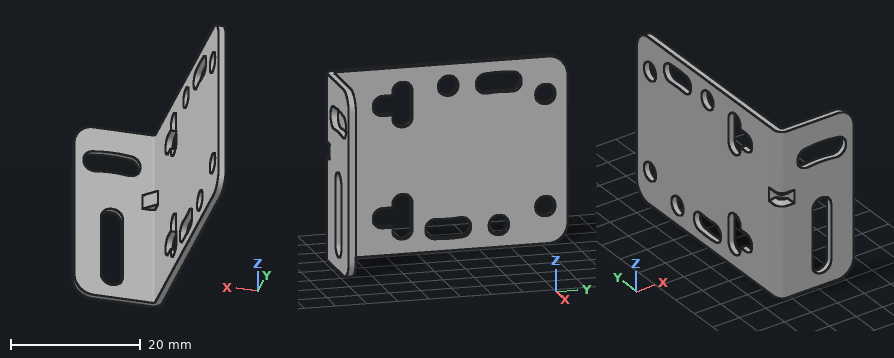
import cadquery as cq
import math

FLANGE_LENGTH = 13.98
PLATE_LENGTH = 38.6
HEIGHT = 29.95
THICKNESS = 1.15
INNER_BEND_RADIUS = 0.35
OUTER_BEND_RADIUS = INNER_BEND_RADIUS + THICKNESS
CORNER_RADIUS = 3.0

HOLE_DIAMETER = 3.2
END_HOLE_Y = 35.05
HOLE_ROW_Z = 9.0
PIVOT_Z = 11.45
LOWER_PIVOT_Y = 27.6
UPPER_PIVOT_Y = 19.5
PLATE_ARC_LENGTH = 7.3
TEE_Y = 12.15
TEE_LENGTH = 7.25
TEE_STEM_Y = 9.05

FLANGE_SLOT_WIDTH = 3.5
FLANGE_SLOT_X = 8.0
FLANGE_SLOT_Z = -5.95
FLANGE_SLOT_LENGTH = 13.55
FLANGE_ARC_RADIUS = 20.08
FLANGE_ARC_LENGTH = 9.1

DENT_Z = 2.78
DENT_WIDTH = 2.4
DENT_CHAMFER = 0.77
DENT_REACH = 2.8
GUSSET_LEG = 1.95

CUT_DEPTH = 3 * THICKNESS
PLATE_PLANE = cq.Plane(origin=(-THICKNESS, 0, 0), xDir=(0, 1, 0), normal=(1, 0, 0))
FLANGE_PLANE = cq.Plane(origin=(0, 2 * THICKNESS, 0), xDir=(1, 0, 0), normal=(0, -1, 0))


def bent_sheet():
    outer = cq.Workplane("XY").box(
        FLANGE_LENGTH, PLATE_LENGTH, HEIGHT, centered=(False, False, True)
    )
    outer = outer.edges("|Z and <X and <Y").fillet(OUTER_BEND_RADIUS)
    inner = (
        cq.Workplane("XY")
        .box(FLANGE_LENGTH, PLATE_LENGTH, HEIGHT, centered=(False, False, True))
        .edges("|Z and <X and <Y")
        .fillet(INNER_BEND_RADIUS)
        .translate((THICKNESS, THICKNESS, 0))
    )
    sheet = outer.cut(inner)
    sheet = sheet.faces(">Y").edges("|X").fillet(CORNER_RADIUS)
    return sheet.faces(">X").edges("|Y").fillet(CORNER_RADIUS)


def arc_slot(plane, pivot, radius, length, width, side):
    """Curved slot tool about pivot; side is +1 above the pivot, -1 below it."""
    u, v = pivot
    half_width = width / 2
    half_angle = math.asin((length - width) / 2 / radius)

    def point(distance, angle):
        return (u + distance * math.sin(angle), v + side * distance * math.cos(angle))

    outer = radius + half_width
    inner = radius - half_width
    cap_u = length / 2
    cap_v = v + side * radius * math.cos(half_angle)
    return (
        cq.Workplane(plane)
        .moveTo(*point(outer, -half_angle))
        .threePointArc(point(outer, 0), point(outer, half_angle))
        .threePointArc((u + cap_u, cap_v), point(inner, half_angle))
        .threePointArc(point(inner, 0), point(inner, -half_angle))
        .threePointArc((u - cap_u, cap_v), point(outer, -half_angle))
        .close()
        .extrude(CUT_DEPTH)
    )


def tee_slot(z):
    """Upright slot with a round-ended stem pointing towards the bend."""
    upright = (
        cq.Workplane(PLATE_PLANE)
        .center(TEE_Y, z)
        .slot2D(TEE_LENGTH, HOLE_DIAMETER, 90)
        .extrude(CUT_DEPTH)
    )
    stem = (
        cq.Workplane(PLATE_PLANE)
        .center((TEE_Y + TEE_STEM_Y) / 2, z)
        .slot2D(TEE_Y - TEE_STEM_Y + HOLE_DIAMETER, HOLE_DIAMETER)
        .extrude(CUT_DEPTH)
    )
    return upright.union(stem)


def corner_wedge(corner, leg):
    """Right-angled triangular prism as tall as the dent."""
    return (
        cq.Workplane("XY", origin=(corner, corner, DENT_Z - DENT_WIDTH / 2))
        .polyline([(0, 0), (leg, 0), (0, leg)])
        .close()
        .extrude(DENT_WIDTH)
    )


def dent_cut():
    """Corner notch with a sloping floor and chamfers that follow the bend."""
    side = 2 * DENT_REACH
    gap = DENT_WIDTH - 2 * DENT_CHAMFER
    block = (
        cq.Workplane("XY")
        .box(side, side, side, centered=False)
        .edges("|Z and <X and <Y")
        .fillet(OUTER_BEND_RADIUS)
    )
    lip_edges = cq.selectors.BoxSelector(
        (-0.4, -0.4, -0.4), (side - 0.4, side - 0.4, side + 0.4)
    )
    above = block.faces("<Z").edges(lip_edges).chamfer(DENT_CHAMFER)
    above = above.translate((0, 0, DENT_Z + gap / 2))
    below = above.mirror("XY", (0, 0, DENT_Z))
    return corner_wedge(0, DENT_REACH).cut(above).cut(below)


result = bent_sheet()
result = result.union(corner_wedge(THICKNESS, GUSSET_LEG))
result = result.cut(dent_cut())

round_holes = [
    (END_HOLE_Y, HOLE_ROW_Z),
    (END_HOLE_Y, -HOLE_ROW_Z),
    (UPPER_PIVOT_Y, PIVOT_Z),
    (LOWER_PIVOT_Y, -PIVOT_Z),
]
result = result.cut(
    cq.Workplane(PLATE_PLANE)
    .pushPoints(round_holes)
    .circle(HOLE_DIAMETER / 2)
    .extrude(CUT_DEPTH)
)

for tee_z in (HOLE_ROW_Z, -HOLE_ROW_Z):
    result = result.cut(tee_slot(tee_z))

for pivot_y, side in ((LOWER_PIVOT_Y, 1), (UPPER_PIVOT_Y, -1)):
    pivot = (pivot_y, -side * PIVOT_Z)
    result = result.cut(
        arc_slot(PLATE_PLANE, pivot, 2 * PIVOT_Z, PLATE_ARC_LENGTH, HOLE_DIAMETER, side)
    )

result = result.cut(
    cq.Workplane(FLANGE_PLANE)
    .center(FLANGE_SLOT_X, FLANGE_SLOT_Z)
    .slot2D(FLANGE_SLOT_LENGTH, FLANGE_SLOT_WIDTH, 90)
    .extrude(CUT_DEPTH)
)

flange_pivot_z = FLANGE_SLOT_Z - (FLANGE_SLOT_LENGTH - FLANGE_SLOT_WIDTH) / 2
result = result.cut(
    arc_slot(
        FLANGE_PLANE,
        (FLANGE_SLOT_X, flange_pivot_z),
        FLANGE_ARC_RADIUS,
        FLANGE_ARC_LENGTH,
        FLANGE_SLOT_WIDTH,
        1,
    )
)